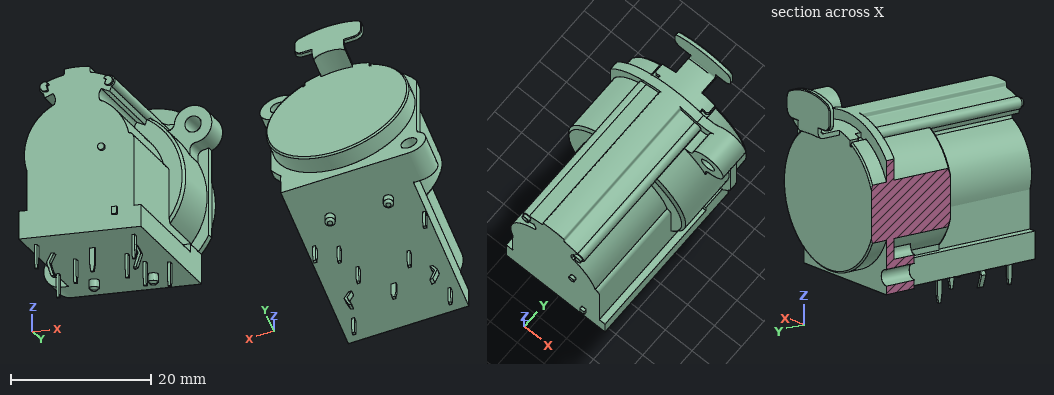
import cadquery as cq
import math


tab_front = 6.5
ring_front = 2.72
flange_back = -1.4
ear_back = -5.0
web_back = -10.95
barrel_back = -11.5
body_back = -27.52
button_back = -28.0

tab_top = 16.7
base_bottom = -12.52
pin_bottom = -16.0

barrel_radius = 10.9
barrel_chamfer = 0.4
ring_chamfer = 0.25
flange_radius = 12.52
flange_half_width = 11.15
flange_shelf_z = 11.5
flange_shelf_blend = 2.07

ear_offset = 9.97
upper_ear_radius = 2.83
lower_ear_radius = 2.55
ear_hole_diameter = 2.4
upper_web_width = 9.52
upper_web_top = 9.35
lower_web_width = 9.1
ear_fillet = 1.05

core_radius = 7.95
crown_radius = 11.65
keel_half_width = 1.95
keel_fillet = 0.25
core_left = -7.6
core_right = 8.52
shoulder_x = 7.75
shoulder_bottom = 1.05
base_left = -8.8
base_right = 9.6
left_ledge_z = -8.3
right_ledge_z = -9.25
left_web_x = -8.0
left_web_top = -6.9
right_block_top = -8.05
shoulder_mid = (8.28, 1.55)

hook_root_x = 3.4
hook_belly = (3.28, 7.93)
hook_top = (3.65, 8.83)
hook_tip = (4.9, 8.3)
hook_end = (5.17, 9.05)

rail_x = 4.75
rail_z = 9.85
rail_radius = 0.93

latch_radius = 11.0
sheet_thickness = 0.7
neck_half_width = 2.4
shoulder_half_width = 4.93
slot_half_width = 5.17
tail_half_width = 3.93
tail_front = 1.0
tab_half_width = 5.15
tab_bottom = 11.65
tab_crown_radius = 11.1
tab_corner = 1.28
tab_edge_chamfer = 0.15
bend_inner_radius = 0.28
bend_radius = 0.85
latch_corner = 0.28

rail_button_diameter = 1.38
rail_button_notch = [(3.95, 10.35), (4.52, 10.05), (4.2, 9.15), (3.8, 9.15)]
round_button_diameter = 1.0
round_button_x = 3.72
square_button_size = (0.8, 1.07)
square_button_center = (5.7, -9.8)

pin_thickness = 0.4
pin_width = 0.8
pin_tip_width = 0.4
pin_embed = 0.35
pin_taper_z = -14.73
side_pins = [
    (-8.45, -10.55), (8.3, -10.55),
    (5.07, -11.83),
    (-4.05, -16.05), (3.75, -16.05),
    (-7.28, -24.0), (7.4, -24.0),
]
center_pin_x = -0.07
center_pin_y = -20.3
clip_y = -19.62
clip_width = 0.83
clip_thickness = 0.45
clip_path = [(6.4, base_bottom), (7.1, -13.85), (6.4, -15.85)]
peg_x = 4.45
peg_y = -6.38
peg_diameter = 1.5
peg_bottom = -14.05
peg_chamfer = 0.38

pick_margin = 0.35


def height_on_circle(radius, x):
    return math.sqrt(radius**2 - x**2)


def section(y):
    """Workplane in XZ at the given Y; positive extrusions run toward -Y."""
    return cq.Workplane("XZ", origin=(0, y, 0))


def disk(x, z, radius, front, back):
    return section(front).center(x, z).circle(radius).extrude(front - back)


def block(x_range, y_range, z_range):
    size = [high - low for low, high in (x_range, y_range, z_range)]
    corner = (x_range[0], y_range[0], z_range[0])
    return cq.Workplane("XY").box(*size, centered=False).translate(corner)


def near(x, z, reach_x, reach_z):
    """Selector for edges along Y whose centre lies close to (x, z)."""
    return cq.selectors.BoxSelector(
        (x - reach_x, body_back, z - reach_z),
        (x + reach_x, ring_front, z + reach_z),
    )


def make_barrel():
    front = disk(0, 0, barrel_radius, ring_front, 0).faces(">Y").chamfer(ring_chamfer)
    rear = disk(0, 0, barrel_radius, 0, barrel_back).faces("<Y").chamfer(barrel_chamfer)
    slot = block((-slot_half_width, slot_half_width), (0, ring_front), (0, flange_radius))
    slot = slot.cut(disk(0, 0, latch_radius - sheet_thickness, ring_front, 0))
    return front.cut(slot).union(rear)


def make_flange():
    plate = disk(0, 0, flange_radius, 0, flange_back)
    plate = plate.intersect(block(
        (-flange_half_width, flange_half_width),
        (flange_back, 0),
        (base_bottom, flange_radius),
    ))
    upper_corner = block((0, flange_half_width), (flange_back, 0), (0, ear_offset))
    lower_corner = block((-flange_half_width, 0), (flange_back, 0), (-ear_offset, 0))
    foot = block((-ear_offset, base_right), (flange_back, 0), (base_bottom, right_block_top))

    reach = upper_ear_radius + flange_shelf_blend
    blend_z = flange_shelf_z + flange_shelf_blend
    rise = blend_z - ear_offset
    run = math.sqrt(reach**2 - rise**2)
    blend_x = ear_offset - run
    share = upper_ear_radius / reach
    touch = (ear_offset - run * share, ear_offset + rise * share)
    mid_angle = (math.atan2(touch[1] - blend_z, touch[0] - blend_x) - math.pi / 2) / 2
    blend_mid = (
        blend_x + flange_shelf_blend * math.cos(mid_angle),
        blend_z + flange_shelf_blend * math.sin(mid_angle),
    )
    shelf = (
        section(0)
        .moveTo(0, 0)
        .lineTo(0, flange_shelf_z)
        .lineTo(blend_x, flange_shelf_z)
        .threePointArc(blend_mid, touch)
        .lineTo(ear_offset, ear_offset)
        .close()
        .extrude(-flange_back)
    )
    return plate.union(upper_corner).union(lower_corner).union(foot).union(shelf)


def make_ears():
    upper_web = block((0, upper_web_width), (ear_back, 0), (0, upper_web_top))
    upper = disk(ear_offset, ear_offset, upper_ear_radius, 0, ear_back).union(upper_web)
    reach = upper_ear_radius + ear_fillet
    upper_roots = near(ear_offset, ear_offset, reach, reach)
    upper = upper.edges("|Y").edges(upper_roots).fillet(ear_fillet)

    lower_web = block((-lower_web_width, 0), (ear_back, 0), (base_bottom, 0))
    lower_foot = block((-ear_offset, 0), (ear_back, 0), (base_bottom, -ear_offset))
    lower = disk(-ear_offset, -ear_offset, lower_ear_radius, 0, ear_back)
    lower = lower.union(lower_foot).union(lower_web)
    lower_root = near(-lower_web_width, lower_ear_radius - ear_offset, pick_margin, pick_margin)
    lower = lower.edges("|Y").edges(lower_root).fillet(ear_fillet)
    return upper.union(lower)


def make_body():
    """Long housing behind the flange, with one undercut on each side below the rails."""
    hook_root_z = height_on_circle(core_radius, hook_root_x)
    crown_edge_z = height_on_circle(crown_radius, rail_x)
    crown_mid_x = (rail_x + keel_half_width) / 2
    crown_mid_z = height_on_circle(crown_radius, crown_mid_x)
    crown_inner_z = height_on_circle(crown_radius, keel_half_width)
    keel_z = height_on_circle(flange_radius, keel_half_width)
    shoulder_top = height_on_circle(core_radius, shoulder_x)
    core_low_z = -height_on_circle(core_radius, core_left)
    right_mid_x = (hook_root_x + shoulder_x) / 2
    right_mid = (right_mid_x, height_on_circle(core_radius, right_mid_x))

    outline = (
        section(flange_back)
        .moveTo(base_left, base_bottom)
        .lineTo(base_left, left_ledge_z)
        .lineTo(core_left, left_ledge_z)
        .lineTo(core_left, core_low_z)
        .threePointArc((-core_radius, 0), (-hook_root_x, hook_root_z))
        .threePointArc((-hook_belly[0], hook_belly[1]), (-hook_top[0], hook_top[1]))
        .lineTo(-hook_tip[0], hook_tip[1])
        .lineTo(-hook_end[0], hook_end[1])
        .lineTo(-rail_x, crown_edge_z)
        .threePointArc((-crown_mid_x, crown_mid_z), (-keel_half_width, crown_inner_z))
        .lineTo(-keel_half_width, keel_z)
        .threePointArc((0, flange_radius), (keel_half_width, keel_z))
        .lineTo(keel_half_width, crown_inner_z)
        .threePointArc((crown_mid_x, crown_mid_z), (rail_x, crown_edge_z))
        .lineTo(*hook_end)
        .lineTo(*hook_tip)
        .lineTo(*hook_top)
        .threePointArc(hook_belly, (hook_root_x, hook_root_z))
        .threePointArc(right_mid, (shoulder_x, shoulder_top))
        .threePointArc(shoulder_mid, (core_right, shoulder_bottom))
        .lineTo(core_right, right_ledge_z)
        .lineTo(base_right, right_ledge_z)
        .lineTo(base_right, base_bottom)
        .close()
    )
    keel_height = keel_z - crown_inner_z
    keel_edges = near(0, keel_z, keel_half_width + pick_margin, keel_height + pick_margin)
    body = outline.extrude(flange_back - body_back)
    body = body.edges("|Y").edges(keel_edges).fillet(keel_fillet)
    for side in (-1, 1):
        body = body.union(disk(side * rail_x, rail_z, rail_radius, flange_back, body_back))

    left_web = block((left_web_x, 0), (web_back, 0), (base_bottom, left_web_top))
    right_block = block((core_left, base_right), (ear_back, 0), (base_bottom, right_block_top))
    return body.union(left_web).union(right_block)


def make_buttons():
    buttons = disk(round_button_x, 0, round_button_diameter / 2, body_back, button_back)
    square = section(body_back).center(*square_button_center).rect(*square_button_size)
    buttons = buttons.union(square.extrude(body_back - button_back))
    for side in (-1, 1):
        button = disk(side * rail_x, rail_z, rail_button_diameter / 2, body_back, button_back)
        notch = (
            section(body_back)
            .polyline([(side * x, z) for x, z in rail_button_notch])
            .close()
            .extrude(body_back - button_back)
        )
        buttons = buttons.union(button.cut(notch))
    return buttons


def make_latch():
    shell = disk(0, 0, latch_radius, tab_front, 0)
    shell = shell.cut(disk(0, 0, latch_radius - sheet_thickness, tab_front, 0))
    neck = block((-neck_half_width, neck_half_width), (0, tab_front), (0, flange_radius))
    shoulder = block(
        (-shoulder_half_width, shoulder_half_width), (tail_front, ring_front), (0, flange_radius)
    )
    shoulder = shoulder.edges("|Z and <Y").chamfer(latch_corner)
    tail = block((-tail_half_width, tail_half_width), (0, tail_front), (0, flange_radius))
    arm = shell.intersect(neck.union(shoulder).union(tail))

    crown_edge_z = tab_top - tab_crown_radius + height_on_circle(tab_crown_radius, tab_half_width)
    tab = (
        section(tab_front)
        .moveTo(-tab_half_width, tab_bottom)
        .lineTo(-tab_half_width, crown_edge_z)
        .threePointArc((0, tab_top), (tab_half_width, crown_edge_z))
        .lineTo(tab_half_width, tab_bottom)
        .close()
        .extrude(sheet_thickness)
        .edges("|Y")
        .fillet(tab_corner)
        .faces(">Y")
        .chamfer(tab_edge_chamfer)
    )
    stem = block(
        (-neck_half_width, neck_half_width),
        (tab_front - sheet_thickness, tab_front),
        (latch_radius - sheet_thickness, tab_bottom + sheet_thickness),
    )
    latch = arm.union(tab).union(stem)
    tab_back = tab_front - sheet_thickness
    inner_bend = cq.selectors.BoxSelector(
        (-neck_half_width, tab_back - pick_margin, latch_radius - pick_margin),
        (neck_half_width, tab_back + pick_margin, latch_radius + pick_margin),
    )
    latch = latch.edges(inner_bend).fillet(bend_inner_radius)

    bend_z = height_on_circle(latch_radius - sheet_thickness, neck_half_width)
    bend_y = tab_front - bend_radius
    corner = block(
        (-neck_half_width, neck_half_width),
        (bend_y, tab_front),
        (bend_z - sheet_thickness, bend_z + bend_radius),
    )
    bend = (
        cq.Workplane("YZ")
        .center(bend_y, bend_z + bend_radius)
        .circle(bend_radius)
        .extrude(neck_half_width, both=True)
    )
    return latch.cut(corner.cut(bend))


def make_pin():
    """Flat tapered pin, thin along X, centred on the Z axis."""
    half = pin_width / 2
    tip = pin_tip_width / 2
    return (
        cq.Workplane("YZ")
        .polyline([
            (-half, base_bottom + pin_embed),
            (half, base_bottom + pin_embed),
            (half, pin_taper_z),
            (tip, pin_bottom),
            (-tip, pin_bottom),
            (-half, pin_taper_z),
        ])
        .close()
        .extrude(pin_thickness / 2, both=True)
    )


def make_clip(side):
    (top_x, top_z), (knee_x, knee_z), (end_x, end_z) = clip_path
    points = [
        (top_x, top_z + pin_embed),
        (top_x, top_z),
        (knee_x, knee_z),
        (end_x, end_z),
        (end_x - clip_thickness, pin_bottom),
        (knee_x - clip_thickness, knee_z),
        (top_x - clip_thickness, top_z),
        (top_x - clip_thickness, top_z + pin_embed),
    ]
    points = [(side * x, z) for x, z in points]
    return section(clip_y + clip_width / 2).polyline(points).close().extrude(clip_width)


def make_peg(x):
    peg = cq.Workplane("XY", origin=(x, peg_y, peg_bottom)).circle(peg_diameter / 2)
    return peg.extrude(base_bottom - peg_bottom).faces("<Z").chamfer(peg_chamfer)


mount = make_flange().union(make_ears())
notch_z = height_on_circle(lower_ear_radius, ear_offset - flange_half_width) - ear_offset
ear_notch = near(-flange_half_width, notch_z, pick_margin, pick_margin)
mount = mount.edges("|Y").edges(ear_notch).fillet(ear_fillet)

result = make_barrel().union(mount).union(make_body())
result = result.union(make_buttons()).union(make_latch())
for side in (-1, 1):
    ear_hole = disk(side * ear_offset, side * ear_offset, ear_hole_diameter / 2, 0, ear_back)
    result = result.cut(ear_hole)
    result = result.union(make_clip(side)).union(make_peg(side * peg_x))
for x, y in side_pins:
    result = result.union(make_pin().translate((x, y, 0)))
center_pin = make_pin().rotate((0, 0, 0), (0, 0, 1), 90)
result = result.union(center_pin.translate((center_pin_x, center_pin_y, 0)))